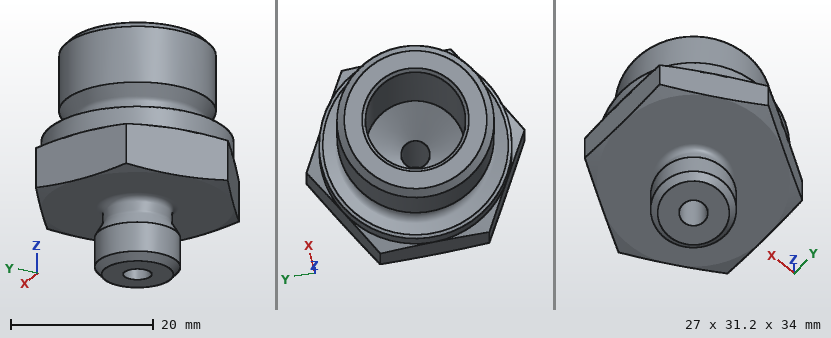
import cadquery as cq
import math

across_flats = 27.0
collar_radius = across_flats / 2
hex_bottom = 10.0
hex_top = 17.0
hex_chamfer_angle = math.radians(14)

edge_radius = 13.0
edge_drop = 0.1
edge_z = 20.0
dish_angle = math.radians(10)

total_height = 34.0
upper_radius = 22.0 / 2
upper_chamfer = 1.02
upper_neck_radius = 19.7 / 2
upper_neck_bottom = 20.88
upper_neck_fillet = 1.2
upper_runout_z = 24.58
upper_runout_blend = 1.12

lower_radius = 12.0 / 2
lower_chamfer_height = 1.1
lower_chamfer_width = 1.0
lower_neck_radius = 9.7 / 2
lower_neck_top = 9.08
lower_neck_fillet = hex_bottom - lower_neck_top
lower_runout_z = 5.47
lower_runout_blend = 0.92

runout_angle = math.radians(30)

bore_radius = 14.0 / 2
bore_mouth_radius = 7.48
bore_mouth_depth = 0.48
bore_floor_z = 17.68
bore_tip_angle = math.radians(118)
passage_radius = 4.0 / 2


def blend_size(radius):
    """Radial and axial extent of an arc turning from the axis direction to a run-out cone."""
    return radius * (1 - math.cos(runout_angle)), radius * math.sin(runout_angle)


def arc_point(center_r, center_z, radius, angle):
    return center_r + radius * math.cos(angle), center_z + radius * math.sin(angle)


def make_lower_stud():
    blend_r, blend_z = blend_size(lower_runout_blend)
    cone_end_r = lower_neck_radius + blend_r
    cone_end_z = lower_runout_z + (lower_radius - cone_end_r) / math.tan(runout_angle)
    neck_bottom = cone_end_z + blend_z
    blend_center_r = lower_neck_radius + lower_runout_blend
    fillet_center_r = lower_neck_radius + lower_neck_fillet
    blend_mid = arc_point(blend_center_r, neck_bottom, lower_runout_blend, math.pi + runout_angle / 2)
    fillet_mid = arc_point(fillet_center_r, lower_neck_top, lower_neck_fillet, math.radians(135))
    return (
        cq.Workplane("XZ")
        .lineTo(lower_radius - lower_chamfer_width, 0)
        .lineTo(lower_radius, lower_chamfer_height)
        .lineTo(lower_radius, lower_runout_z)
        .lineTo(cone_end_r, cone_end_z)
        .threePointArc(blend_mid, (lower_neck_radius, neck_bottom))
        .lineTo(lower_neck_radius, lower_neck_top)
        .threePointArc(fillet_mid, (fillet_center_r, hex_bottom))
        .lineTo(fillet_center_r, hex_top)
        .lineTo(0, hex_top)
        .close()
        .revolve(360, (0, 0, 0), (0, 1, 0))
    )


def make_hexagon():
    corner_radius = collar_radius / math.cos(math.radians(30))
    chamfer_height = (corner_radius - collar_radius) * math.tan(hex_chamfer_angle)
    prism = (
        cq.Workplane("XY", origin=(0, 0, hex_bottom))
        .polygon(6, 2 * corner_radius)
        .extrude(hex_top - hex_bottom)
        .rotate((0, 0, 0), (0, 0, 1), 30)
    )
    chamfer_envelope = (
        cq.Workplane("XZ")
        .moveTo(0, hex_bottom)
        .lineTo(collar_radius, hex_bottom)
        .lineTo(corner_radius, hex_bottom + chamfer_height)
        .lineTo(corner_radius, hex_top - chamfer_height)
        .lineTo(collar_radius, hex_top)
        .lineTo(0, hex_top)
        .close()
        .revolve(360, (0, 0, 0), (0, 1, 0))
    )
    return prism.intersect(chamfer_envelope)


def make_collar_and_upper_stud():
    fillet_center_r = upper_neck_radius + upper_neck_fillet
    fillet_end_angle = -math.pi / 2 + dish_angle
    fillet_mid_angle = (fillet_end_angle - math.pi) / 2
    fillet_end = arc_point(fillet_center_r, upper_neck_bottom, upper_neck_fillet, fillet_end_angle)
    fillet_mid = arc_point(fillet_center_r, upper_neck_bottom, upper_neck_fillet, fillet_mid_angle)

    blend_r, blend_z = blend_size(upper_runout_blend)
    cone_start_r = upper_neck_radius + blend_r
    cone_start_z = upper_runout_z - (upper_radius - cone_start_r) / math.tan(runout_angle)
    neck_top = cone_start_z - blend_z
    blend_center_r = upper_neck_radius + upper_runout_blend
    blend_mid = arc_point(blend_center_r, neck_top, upper_runout_blend, math.pi - runout_angle / 2)
    return (
        cq.Workplane("XZ")
        .moveTo(0, hex_top)
        .lineTo(collar_radius, hex_top)
        .lineTo(collar_radius, edge_z - edge_drop)
        .lineTo(edge_radius, edge_z)
        .lineTo(*fillet_end)
        .threePointArc(fillet_mid, (upper_neck_radius, upper_neck_bottom))
        .lineTo(upper_neck_radius, neck_top)
        .threePointArc(blend_mid, (cone_start_r, cone_start_z))
        .lineTo(upper_radius, upper_runout_z)
        .lineTo(upper_radius, total_height - upper_chamfer)
        .lineTo(upper_radius - upper_chamfer, total_height)
        .lineTo(0, total_height)
        .close()
        .revolve(360, (0, 0, 0), (0, 1, 0))
    )


def make_bores():
    """Wide bore from the top with a conical floor leading into the narrow through passage."""
    cone_depth = (bore_radius - passage_radius) / math.tan(bore_tip_angle / 2)
    return (
        cq.Workplane("XZ")
        .lineTo(passage_radius, 0)
        .lineTo(passage_radius, bore_floor_z - cone_depth)
        .lineTo(bore_radius, bore_floor_z)
        .lineTo(bore_radius, total_height - bore_mouth_depth)
        .lineTo(bore_mouth_radius, total_height)
        .lineTo(0, total_height)
        .close()
        .revolve(360, (0, 0, 0), (0, 1, 0))
    )


body = make_hexagon().union(make_lower_stud()).union(make_collar_and_upper_stud())
result = body.cut(make_bores())